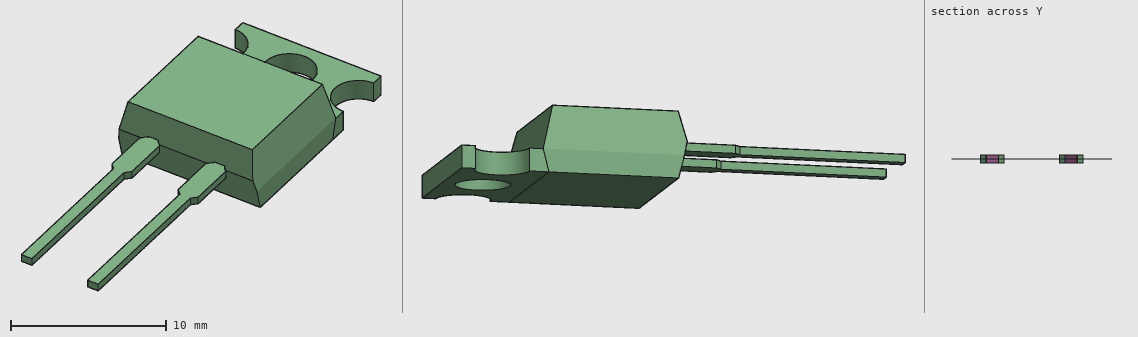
import cadquery as cq

total_length = 30
width = 10.6
height = 4.5
tab_end_y = total_length / 2
lead_tip_y = -total_length / 2

tab_thickness = 1.5
hole_diameter = 3.6
hole_y = tab_end_y - 2.7

housing_back_y = tab_end_y - 5.4
housing_length = 9.6
housing_front_y = housing_back_y - housing_length
end_draft = 0.25
side_inset = 0.55

lead_spacing = 5.07
lead_thickness = 0.55
lead_mid_z = 2.45
narrow_width = 0.8
wide_width = 1.53
shoulder = (wide_width - narrow_width) / 2
wide_end_y = tab_end_y - 18.65


def make_housing():
    """Molded block: a side profile trimmed by the tapered end profile."""
    back_top_y = housing_back_y - end_draft * (height - tab_thickness)
    back_base_y = housing_back_y - end_draft * tab_thickness
    front_top_y = housing_front_y + end_draft * (height - lead_mid_z)
    front_base_y = housing_front_y + end_draft * lead_mid_z
    side_profile = (
        cq.Workplane("YZ")
        .polyline([
            (back_base_y, 0),
            (housing_back_y, tab_thickness),
            (back_top_y, height),
            (front_top_y, height),
            (housing_front_y, lead_mid_z),
            (front_base_y, 0),
        ])
        .close()
        .extrude(width / 2, both=True)
    )
    half_width = width / 2
    half_top = half_width - side_inset
    end_profile = (
        cq.Workplane("XZ")
        .polyline([
            (-half_width, 0),
            (half_width, 0),
            (half_width, tab_thickness),
            (half_top, height),
            (-half_top, height),
            (-half_width, tab_thickness),
        ])
        .close()
        .extrude(total_length / 2, both=True)
    )
    return side_profile.intersect(end_profile)


def make_tab():
    """Plate with a central hole and two half-round edge notches, ending on the housing's sloped back."""
    back_base_y = housing_back_y - end_draft * tab_thickness
    plate = (
        cq.Workplane("YZ")
        .polyline([
            (tab_end_y, 0),
            (tab_end_y, tab_thickness),
            (housing_back_y, tab_thickness),
            (back_base_y, 0),
        ])
        .close()
        .extrude(width / 2, both=True)
    )
    round_cuts = (
        cq.Workplane("XY")
        .pushPoints([(x, hole_y) for x in (-width / 2, 0, width / 2)])
        .circle(hole_diameter / 2)
        .extrude(tab_thickness)
    )
    return plate.cut(round_cuts)


def make_lead(x, housing):
    """Flat lead with a wide root, its inner end fitted to the V of the housing's front face."""
    half_narrow = narrow_width / 2
    half_wide = wide_width / 2
    root_y = housing_front_y + end_draft * lead_thickness / 2
    blank = (
        cq.Workplane("XY")
        .workplane(offset=lead_mid_z - lead_thickness / 2)
        .center(x, 0)
        .polyline([
            (-half_narrow, root_y),
            (-half_narrow, housing_front_y),
            (-half_wide, housing_front_y - shoulder),
            (-half_wide, wide_end_y),
            (-half_narrow, wide_end_y - shoulder),
            (-half_narrow, lead_tip_y),
            (half_narrow, lead_tip_y),
            (half_narrow, wide_end_y - shoulder),
            (half_wide, wide_end_y),
            (half_wide, housing_front_y - shoulder),
            (half_narrow, housing_front_y),
            (half_narrow, root_y),
        ])
        .close()
        .extrude(lead_thickness)
    )
    return blank.cut(housing)


housing = make_housing()
tab = make_tab()
leads = [make_lead(side * lead_spacing / 2, housing) for side in (-1, 1)]

result = cq.Compound.makeCompound([
    housing.solids().val(),
    tab.solids().val(),
    *[lead.solids().val() for lead in leads],
])